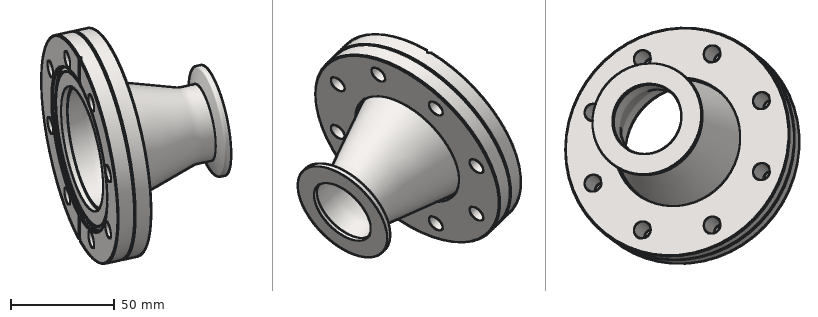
import cadquery as cq
import math

total_length = 68.4
axis_start = (0, 0, 0)
axis_end = (0, 1, 0)

flange_diameter = 113.5
flange_thickness = 17.5
flange_chamfer = 0.5
rim_groove_offset = 8.9
rim_groove_width = 0.8
bolt_count = 8
bolt_circle_diameter = 92.2
bolt_hole_diameter = 8.4
land_diameter = 62.0
land_depth = 3.1
tube_socket_diameter = 63.8
recess_diameter = 82.5
recess_chamfer = 0.6
recess_depth = 2.0
knife_edge_diameter = 77.2
knife_edge_depth = 1.0
knife_foot_diameter = 76.5
inner_face_depth = 1.5
leak_groove_radius = 1.2
leak_groove_center_offset = 0.1

large_tube_diameter = 63.5
small_tube_diameter = 38.1
large_tube_bore = 60.2
wall = (large_tube_diameter - large_tube_bore) / 2
large_bend_position = 13.8
small_bend_position = 54.9
bend_radius = 10.4

clamp_diameter = 55.0
clamp_hub_diameter = 39.0
clamp_hub_position = 63.3
clamp_taper_angle = 15
clamp_rim_radius = 1.1
clamp_socket_diameter = 38.4
clamp_lip_thickness = 2.3
clamp_bore_diameter = small_tube_diameter - 2 * wall


def revolve_about_axis(profile):
    """Turn a closed profile, drawn as (radius, position), about the Y axis."""
    return profile.close().revolve(360, axis_start, axis_end)


def make_flange():
    outer = flange_diameter / 2
    groove_half = rim_groove_width / 2
    body = revolve_about_axis(
        cq.Workplane("XY").polyline([
            (land_diameter / 2, inner_face_depth),
            (knife_foot_diameter / 2, inner_face_depth),
            (knife_edge_diameter / 2, knife_edge_depth),
            (recess_diameter / 2 - recess_chamfer, recess_depth),
            (recess_diameter / 2 - recess_chamfer, recess_chamfer),
            (recess_diameter / 2, 0),
            (outer - flange_chamfer, 0),
            (outer, flange_chamfer),
            (outer, rim_groove_offset - groove_half),
            (outer - groove_half, rim_groove_offset),
            (outer, rim_groove_offset + groove_half),
            (outer, flange_thickness - flange_chamfer),
            (outer - flange_chamfer, flange_thickness),
            (tube_socket_diameter / 2, flange_thickness),
            (tube_socket_diameter / 2, inner_face_depth + land_depth),
            (land_diameter / 2, inner_face_depth + land_depth),
        ])
    )
    return cut_leak_grooves(cut_bolt_holes(body))


def cut_bolt_holes(body):
    holes = (
        cq.Workplane("XZ")
        .polarArray(bolt_circle_diameter / 2, 180 / bolt_count, 360, bolt_count)
        .circle(bolt_hole_diameter / 2)
        .extrude(-flange_thickness)
    )
    return body.cut(holes)


def cut_leak_grooves(body):
    start = knife_edge_diameter / 2
    length = flange_diameter / 2 - start
    for side in (1, -1):
        groove = (
            cq.Workplane("XY", origin=(0, -leak_groove_center_offset, side * start))
            .circle(leak_groove_radius)
            .extrude(side * length)
        )
        body = body.cut(groove)
    return body


def make_reducer():
    tube_start = inner_face_depth + land_depth
    tube_end = total_length - clamp_lip_thickness
    large_outer = large_tube_diameter / 2
    small_outer = small_tube_diameter / 2
    large_inner = large_tube_bore / 2
    small_inner = small_outer - wall
    bend_angle = math.atan2(large_outer - small_outer, small_bend_position - large_bend_position)
    half_tangent = math.tan(bend_angle / 2)

    inner_shift = wall * half_tangent
    inner_large_bend = large_bend_position - inner_shift
    inner_small_bend = small_bend_position - inner_shift

    outer_large_run = (bend_radius + wall) * half_tangent
    outer_small_run = bend_radius * half_tangent
    inner_large_run = bend_radius * half_tangent
    inner_small_run = (bend_radius + wall) * half_tangent

    def along_cone(radius, position, distance):
        """Point at a signed distance along the cone from one of its corners."""
        return (
            radius - distance * math.sin(bend_angle),
            position + distance * math.cos(bend_angle),
        )

    return revolve_about_axis(
        cq.Workplane("XY")
        .moveTo(large_outer, tube_start)
        .lineTo(large_outer, large_bend_position - outer_large_run)
        .tangentArcPoint(along_cone(large_outer, large_bend_position, outer_large_run), relative=False)
        .lineTo(*along_cone(small_outer, small_bend_position, -outer_small_run))
        .tangentArcPoint((small_outer, small_bend_position + outer_small_run), relative=False)
        .lineTo(small_outer, tube_end)
        .lineTo(small_inner, tube_end)
        .lineTo(small_inner, inner_small_bend + inner_small_run)
        .tangentArcPoint(along_cone(small_inner, inner_small_bend, -inner_small_run), relative=False)
        .lineTo(*along_cone(large_inner, inner_large_bend, inner_large_run))
        .tangentArcPoint((large_inner, inner_large_bend - inner_large_run), relative=False)
        .lineTo(large_inner, tube_start)
    )


def make_clamp_flange():
    outer = clamp_diameter / 2
    hub = clamp_hub_diameter / 2
    socket = clamp_socket_diameter / 2
    taper = math.radians(clamp_taper_angle)
    taper_corner = clamp_hub_position + (outer - hub) * math.tan(taper)

    arc_run = clamp_rim_radius * math.tan((math.pi / 2 - taper) / 2)
    arc_start = (outer - arc_run * math.cos(taper), taper_corner - arc_run * math.sin(taper))
    arc_end = (outer, taper_corner + arc_run)
    lip_position = total_length - clamp_lip_thickness

    return revolve_about_axis(
        cq.Workplane("XY")
        .moveTo(socket, clamp_hub_position)
        .lineTo(hub, clamp_hub_position)
        .lineTo(*arc_start)
        .tangentArcPoint(arc_end, relative=False)
        .lineTo(outer, total_length)
        .lineTo(clamp_bore_diameter / 2, total_length)
        .lineTo(clamp_bore_diameter / 2, lip_position)
        .lineTo(socket, lip_position)
    )


flange = make_flange()
reducer = make_reducer()
clamp_flange = make_clamp_flange()

result = cq.Compound.makeCompound([flange.val(), reducer.val(), clamp_flange.val()])